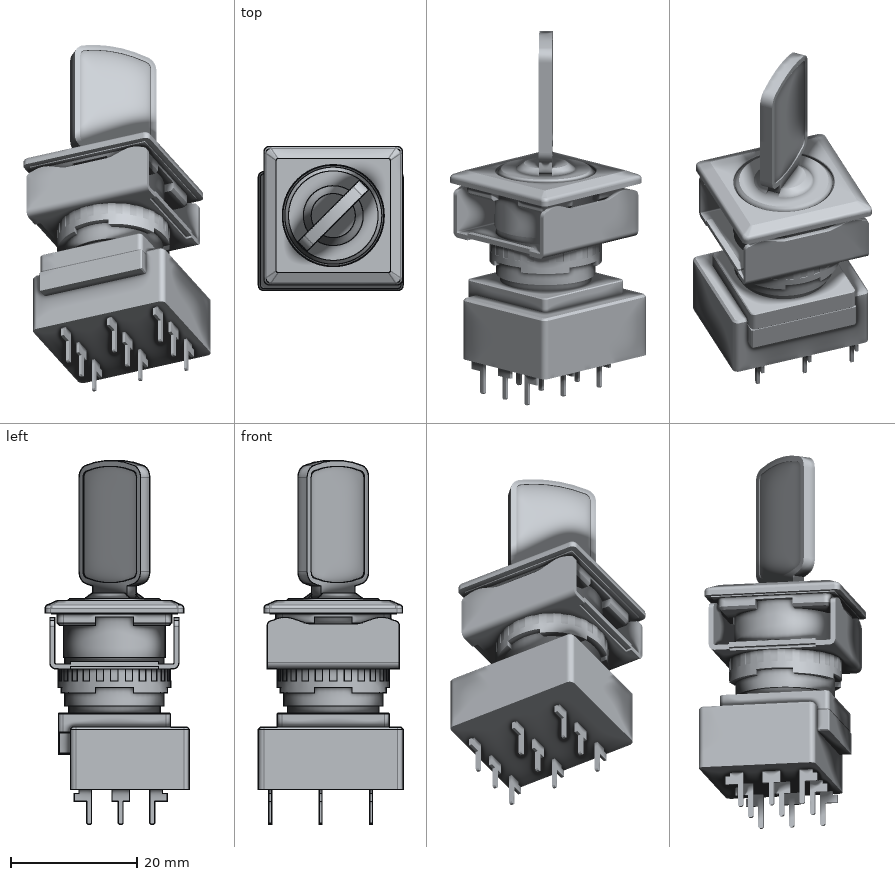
import cadquery as cq
import math


BEZEL_SIDE = 22.0
BEZEL_CORNER = 0.9
BEZEL_RIM_TOP = 1.14
BEZEL_RIM_FILLET = 0.6
BEZEL_TOP = 2.0
BEZEL_FLAT_SIDE = 18.1
BEZEL_FLAT_CORNER = 0.3
GASKET_SIDE = 20.0
GASKET_THICKNESS = 0.15

GROOVE_OUTER_DIA = 16.2
GROOVE_WALL_DIA = 16.0
FACE_BASE_DIA = 15.4
FACE_TOP_DIA = 14.2
FACE_TOP = 2.3
FACE_EDGE_HEIGHT = 0.6
GROOVE_DEPTH = 0.6
GROOVE_LIP = 0.1
BOSS_BASE_DIA = 9.5
BOSS_TOP_DIA = 7.0
BOSS_TOP = 3.2

KEY_ANGLE = 45
KEY_THICKNESS = 2.1
BOW_WIDTH = 13.8
BOW_BOTTOM = 3.9
BOW_TOP = 24.2
BOW_END_RADIUS = 19.0
BOW_CORNER = 2.0
PANEL_INSET = 0.9
PANEL_DEPTH = 0.2
SHANK_WIDTH = 7.7
SHANK_CORNER = 0.4

SQUARE_SIDE = 18.25
SQUARE_CORNER = 1.05
SQUARE_BOTTOM = -2.0
SQUARE_CHAMFER = 0.45
NOTCH_WIDTH = 6.0
SQUARE_NOTCH_TOP = -0.6
BARREL_DIA = 16.2
BARREL_BOTTOM = -7.03
THREAD_DIA = 15.8
THREAD_BOTTOM = -14.75
NECK_DIA = 14.55
FLANGE_DIA = 17.2
FLANGE_THICKNESS = 1.0

BRACKET_LENGTH = 21.0
BRACKET_SPAN = 20.5
BRACKET_SHEET = 0.8
BRACKET_BEND = 1.0
BRACKET_BOTTOM = -8.86
BRACKET_HOLE_DIA = 16.0
FLAP_SHOULDER = -2.1
FLAP_CREST = -0.7
FLAP_DIP = -1.72
FLAP_DIP_WIDTH = 7.0
RIB_LENGTH = 14.0
RIB_WIDTH = 1.0
RIB_RISE = 0.35

RING_DIA = 17.9
RING_NOTCH_TOP = -11.84
RING_BOTTOM = -12.66
GRIP_COUNT = 24
GRIP_DEPTH = 0.1
GRIP_BOTTOM = -10.78

HOUSING_SIDE = 17.8
HOUSING_TOP = -15.85
HOUSING_CORNER = 0.75
HOUSING_CHAMFER = 0.15
HOUSING_STEP = -19.0
HOUSING_BOTTOM = -22.4
LOWER_CHAMFER = 0.2
BASE_X = (-11.9, 11.1)
BASE_Y = (-11.9, 7.0)
BASE_TOP = -18.08
BASE_BOTTOM = -28.0
BASE_CORNER = 0.9
BASE_CHAMFER = 0.35

TERMINAL_X = (-10.0, -2.0, 6.0)
TERMINAL_MID_Y = -1.0
TERMINAL_PITCH_Y = 5.0
TERMINAL_SHEET = 0.5
TERMINAL_TIP = -33.5
TERMINAL_TIP_CHAMFER = 0.2
BLADE_WIDTH = 0.8
HEAD_BOTTOM = -29.85
MID_HEAD_WIDTH = 2.8
WING_TOP = -28.6
WING_REACH = 2.4
HEAD_REACH = 1.65
TERMINAL_ROOT = 1.0

BOUND = 60.0
TOLERANCE = 0.01


def block(size_x, size_y, bottom, top):
    """Box centred on the switch axis between two heights."""
    return cq.Workplane("XY").workplane(offset=bottom).rect(size_x, size_y).extrude(top - bottom)


def rounded_block(size_x, size_y, bottom, top, corner):
    return block(size_x, size_y, bottom, top).edges("|Z").fillet(corner)


def cylinder(diameter, bottom, top):
    return cq.Workplane("XY").workplane(offset=bottom).circle(diameter / 2).extrude(top - bottom)


def cone(bottom_dia, top_dia, bottom, top):
    profile = [(0, bottom), (bottom_dia / 2, bottom), (top_dia / 2, top), (0, top)]
    return cq.Workplane("XZ").polyline(profile).close().revolve(360, (0, 0), (0, 1))


def tapered_square(side, corner, bottom, top_side, top_corner, top):
    """Square frustum with rounded corners."""
    lower = cq.Sketch().rect(side, side).vertices().fillet(corner)
    upper = cq.Sketch().rect(top_side, top_side).vertices().fillet(top_corner)
    base = cq.Workplane("XY").workplane(offset=bottom)
    return base.placeSketch(lower, upper.moved(cq.Location(cq.Vector(0, 0, top - bottom)))).loft()


def four_side_notches(bottom, top, core_dia):
    """Slots on the +-X and +-Y sides that reach inward to a round core."""
    cross = block(BOUND, NOTCH_WIDTH, bottom, top).union(block(NOTCH_WIDTH, BOUND, bottom, top))
    return cross.cut(cylinder(core_dia, bottom, top))


def make_bezel():
    rim = rounded_block(BEZEL_SIDE, BEZEL_SIDE, 0, BEZEL_RIM_TOP, BEZEL_CORNER)
    slope = tapered_square(BEZEL_SIDE, BEZEL_CORNER, BEZEL_RIM_TOP,
                           BEZEL_FLAT_SIDE, BEZEL_FLAT_CORNER, BEZEL_TOP)
    bezel = rim.union(slope)
    rim_edges = cq.selectors.BoxSelector((-BOUND, -BOUND, BEZEL_RIM_TOP - TOLERANCE),
                                         (BOUND, BOUND, BEZEL_RIM_TOP + TOLERANCE))
    bezel = bezel.edges(rim_edges).fillet(BEZEL_RIM_FILLET)
    bezel = bezel.union(block(GASKET_SIDE, GASKET_SIDE, -GASKET_THICKNESS, 0))
    bezel = bezel.cut(cylinder(GROOVE_WALL_DIA, BEZEL_TOP - GROOVE_DEPTH, BEZEL_TOP))
    return bezel.cut(cone(GROOVE_WALL_DIA, GROOVE_OUTER_DIA, BEZEL_TOP - GROOVE_LIP, BEZEL_TOP))


def make_lock_face():
    edge_bottom = FACE_TOP - FACE_EDGE_HEIGHT
    face = cylinder(FACE_BASE_DIA, BEZEL_TOP - GROOVE_DEPTH, edge_bottom)
    face = face.union(cone(FACE_BASE_DIA, FACE_TOP_DIA, edge_bottom, FACE_TOP))
    boss = cone(BOSS_BASE_DIA, BOSS_TOP_DIA, FACE_TOP, BOSS_TOP)
    key_slot = block(BOUND, KEY_THICKNESS, FACE_TOP, BOSS_TOP)
    boss = boss.cut(key_slot.rotate((0, 0, 0), (0, 0, 1), KEY_ANGLE))
    return face.union(boss)


def bow_plate(inset, thickness):
    """Key bow with straight sides and arched ends, shrunk all round by inset."""
    half = BOW_WIDTH / 2 - inset
    top = BOW_TOP - inset
    bottom = BOW_BOTTOM + inset
    end_radius = BOW_END_RADIUS - inset
    sag = end_radius - math.sqrt(end_radius ** 2 - half ** 2)
    outline = (cq.Workplane("XZ").moveTo(-half, bottom + sag)
               .threePointArc((0, bottom), (half, bottom + sag))
               .lineTo(half, top - sag)
               .threePointArc((0, top), (-half, top - sag))
               .close())
    return outline.extrude(thickness / 2, both=True).edges("|Y").fillet(BOW_CORNER - inset)


def make_key():
    key = bow_plate(0, KEY_THICKNESS)
    shank = block(SHANK_WIDTH, KEY_THICKNESS, FACE_TOP, BOW_BOTTOM + BOW_CORNER)
    key = key.union(shank.faces("<Z").edges("|Y").fillet(SHANK_CORNER))
    for side in (-1, 1):
        panel = bow_plate(PANEL_INSET, 2 * PANEL_DEPTH)
        key = key.cut(panel.translate((0, side * KEY_THICKNESS / 2, 0)))
    return key.rotate((0, 0, 0), (0, 0, 1), KEY_ANGLE)


def make_barrel():
    collar = rounded_block(SQUARE_SIDE, SQUARE_SIDE, SQUARE_BOTTOM, 0, SQUARE_CORNER)
    collar = collar.faces("<Z").chamfer(SQUARE_CHAMFER)
    collar = collar.cut(four_side_notches(SQUARE_BOTTOM, SQUARE_NOTCH_TOP, BARREL_DIA))
    barrel = collar.union(cylinder(BARREL_DIA, BARREL_BOTTOM, 0))
    barrel = barrel.union(cylinder(THREAD_DIA, THREAD_BOTTOM, BARREL_BOTTOM))
    barrel = barrel.union(cylinder(NECK_DIA, HOUSING_TOP, THREAD_BOTTOM))
    return barrel.union(cylinder(FLANGE_DIA, HOUSING_TOP - FLANGE_THICKNESS, HOUSING_TOP))


def make_operator():
    return make_bezel().union(make_lock_face()).union(make_barrel()).union(make_key())


def flap_outline():
    """Upright flap seen along Y: rounded shoulders, a crest near each end and a dip in the middle."""
    half = BRACKET_LENGTH / 2
    shoulder = (9.6, -1.15)
    crest = (8.0, FLAP_CREST)
    fall_start = (6.2, -0.95)
    fall_end = (4.6, -1.5)
    dip_half = FLAP_DIP_WIDTH / 2
    shoulder_mid = (10.3, -1.5)
    fall_mid = (4.1, -1.65)

    def mirrored(point):
        return (-point[0], point[1])

    return (cq.Workplane("XZ").moveTo(-half, BRACKET_BOTTOM).lineTo(half, BRACKET_BOTTOM)
            .lineTo(half, FLAP_SHOULDER)
            .threePointArc(shoulder_mid, shoulder)
            .threePointArc(crest, fall_start)
            .lineTo(*fall_end)
            .threePointArc(fall_mid, (dip_half, FLAP_DIP))
            .lineTo(-dip_half, FLAP_DIP)
            .threePointArc(mirrored(fall_mid), mirrored(fall_end))
            .lineTo(*mirrored(fall_start))
            .threePointArc(mirrored(crest), mirrored(shoulder))
            .threePointArc(mirrored(shoulder_mid), (-half, FLAP_SHOULDER))
            .close())


def make_bracket():
    inner_span = BRACKET_SPAN - 2 * BRACKET_SHEET
    inner_bend = BRACKET_BEND - BRACKET_SHEET
    floor_top = BRACKET_BOTTOM + BRACKET_SHEET
    envelope = flap_outline().extrude(BRACKET_SPAN / 2, both=True)
    envelope = envelope.faces("<Z").edges("|X").fillet(BRACKET_BEND)
    inside = block(BOUND, inner_span, floor_top, BOUND).faces("<Z").edges("|X").fillet(inner_bend)
    bracket = envelope.cut(inside)
    for side in (-1, 1):
        rib_x = side * (BRACKET_LENGTH - RIB_WIDTH) / 2
        rib = block(RIB_WIDTH, RIB_LENGTH, floor_top, floor_top + RIB_RISE)
        hollow = block(RIB_WIDTH, RIB_LENGTH, BRACKET_BOTTOM, BRACKET_BOTTOM + RIB_RISE)
        bracket = bracket.union(rib.translate((rib_x, 0, 0)))
        bracket = bracket.cut(hollow.translate((rib_x, 0, 0)))
    return bracket.cut(cylinder(BRACKET_HOLE_DIA, BRACKET_BOTTOM, floor_top + RIB_RISE))


def make_locking_ring():
    ring = cylinder(RING_DIA, RING_BOTTOM, BRACKET_BOTTOM)
    ring = ring.cut(four_side_notches(RING_BOTTOM, RING_NOTCH_TOP, THREAD_DIA))
    grip_pitch = 360 / GRIP_COUNT
    grip_width = RING_DIA * math.sin(math.radians(grip_pitch / 4))
    grip_reach = RING_DIA / 2 - GRIP_DEPTH
    grip = block(2 * GRIP_DEPTH, grip_width, GRIP_BOTTOM, BRACKET_BOTTOM)
    grip = grip.translate((grip_reach + GRIP_DEPTH, 0, 0))
    for index in range(GRIP_COUNT):
        ring = ring.cut(grip.rotate((0, 0, 0), (0, 0, 1), index * grip_pitch))
    return ring.cut(cylinder(THREAD_DIA, RING_BOTTOM, BRACKET_BOTTOM))


def terminal_blade(outline, x):
    """Sheet terminal with a YZ outline, centred on x."""
    sheet = cq.Workplane("YZ").workplane(offset=x).polyline(outline).close()
    return sheet.extrude(TERMINAL_SHEET / 2, both=True)


def middle_terminal(x):
    y = TERMINAL_MID_Y
    head = MID_HEAD_WIDTH / 2
    blade = BLADE_WIDTH / 2
    root = BASE_BOTTOM + TERMINAL_ROOT
    outline = [(y - head, root), (y - head, HEAD_BOTTOM),
               (y - blade, HEAD_BOTTOM), (y - blade, TERMINAL_TIP),
               (y + blade, TERMINAL_TIP), (y + blade, HEAD_BOTTOM),
               (y + head, HEAD_BOTTOM), (y + head, root)]
    return terminal_blade(outline, x)


def outer_terminal(x, side):
    """Terminal with a wing that points away from the middle one."""
    y = TERMINAL_MID_Y + side * TERMINAL_PITCH_Y
    blade = side * BLADE_WIDTH / 2
    head = side * HEAD_REACH
    wing = side * WING_REACH
    root = BASE_BOTTOM + TERMINAL_ROOT
    outline = [(y - blade, root), (y - blade, TERMINAL_TIP),
               (y + blade, TERMINAL_TIP), (y + blade, HEAD_BOTTOM),
               (y + wing, HEAD_BOTTOM), (y + wing, WING_TOP),
               (y + head, WING_TOP), (y + head, root)]
    return terminal_blade(outline, x)


def make_contact_block():
    housing = rounded_block(HOUSING_SIDE, HOUSING_SIDE, HOUSING_STEP, HOUSING_TOP, HOUSING_CORNER)
    housing = housing.faces(">Z or <Z").chamfer(HOUSING_CHAMFER)
    lower = block(HOUSING_SIDE, HOUSING_SIDE, HOUSING_BOTTOM, HOUSING_STEP)
    lower = lower.edges("|Z").chamfer(LOWER_CHAMFER).faces("<Z").edges("|Y").chamfer(LOWER_CHAMFER)
    base = rounded_block(BASE_X[1] - BASE_X[0], BASE_Y[1] - BASE_Y[0], BASE_BOTTOM, BASE_TOP, BASE_CORNER)
    base = base.faces(">Z").chamfer(BASE_CHAMFER).translate((sum(BASE_X) / 2, sum(BASE_Y) / 2, 0))
    contact = housing.union(lower).union(base)
    for x in TERMINAL_X:
        for terminal in (middle_terminal(x), outer_terminal(x, 1), outer_terminal(x, -1)):
            contact = contact.union(terminal.faces("<Z").edges("|X").chamfer(TERMINAL_TIP_CHAMFER))
    return contact.cut(cylinder(FLANGE_DIA, HOUSING_TOP - FLANGE_THICKNESS, HOUSING_TOP))


operator = make_operator()
bracket = make_bracket()
locking_ring = make_locking_ring()
contact_block = make_contact_block()

result = cq.Compound.makeCompound([operator.val(), bracket.val(), locking_ring.val(), contact_block.val()])